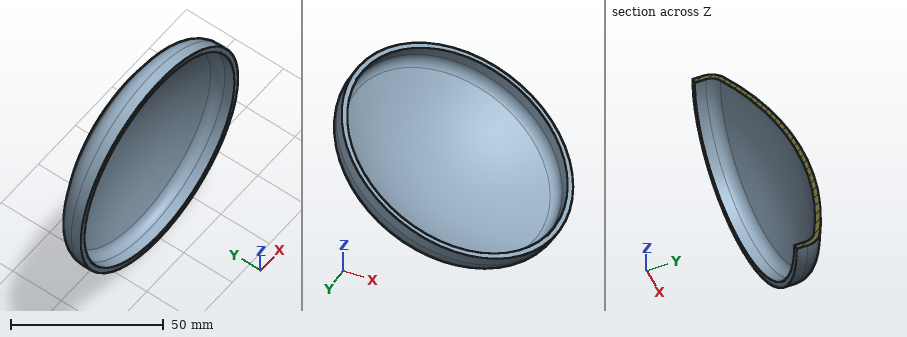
import cadquery as cq
import math

outer_radius = 42.5
height = 20.0
rim_height = 3.9
dome_radius = 80.0
wall = 2.0

dome_center_y = height - dome_radius
center_rise = rim_height - dome_center_y
shoulder_radius = (dome_radius**2 - outer_radius**2 - center_rise**2) / (2 * (dome_radius - outer_radius))
shoulder_center_x = outer_radius - shoulder_radius
tangent_angle = math.atan2(center_rise, shoulder_center_x)


def dome_point(radius, angle):
    """Point on a crown arc, with the angle measured from the X axis."""
    return (radius * math.cos(angle), dome_center_y + radius * math.sin(angle))


def shoulder_point(radius, angle):
    """Point on a shoulder arc, with the angle measured from the X axis."""
    return (shoulder_center_x + radius * math.cos(angle), rim_height + radius * math.sin(angle))


def domed_solid(inset):
    """Solid of revolution about Y, offset inward from the outer skin."""
    crown = dome_radius - inset
    shoulder = shoulder_radius - inset
    rim = outer_radius - inset
    crown_mid_angle = (tangent_angle + math.pi / 2) / 2
    return (
        cq.Workplane("XY")
        .lineTo(rim, 0)
        .lineTo(rim, rim_height)
        .threePointArc(shoulder_point(shoulder, tangent_angle / 2), shoulder_point(shoulder, tangent_angle))
        .threePointArc(dome_point(crown, crown_mid_angle), (0, height - inset))
        .close()
        .revolve(360, (0, 0), (0, 1))
    )


result = domed_solid(0).cut(domed_solid(wall))